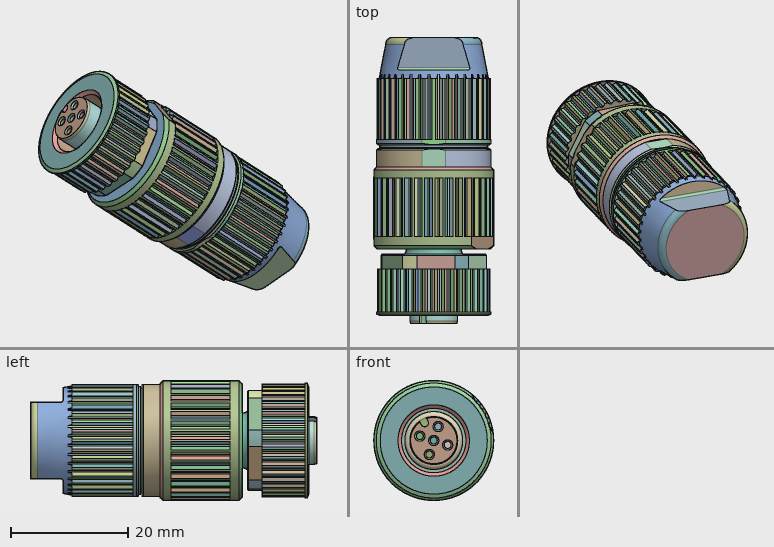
import cadquery as cq
import math

overall_length = 48.9

groove_count = 36
groove_pitch = 360 / groove_count
groove_floor_width = 0.3
flank_angle = 49.0
groove_top_margin = 0.6

insert_radius = 8.2 / 2
insert_chamfer_width = 0.14
insert_chamfer_length = 0.5
shoulder_radius = 4.95
contact_hole_diameter = 1.2
contact_mouth_diameter = 1.75
contact_hole_depth = 5.0
contact_circle_radius = 2.5
first_contact_angle = -17.5
key_angle = 117.4
key_radius = 0.65
key_center_radius = 3.38

nut_face_y = 1.37
nut_face_radius = 18.3 / 2
nut_rim_radius = 9.82
nut_rim_front_y = 1.65
nut_rim_back_y = 2.0
nut_knurl_radius = 9.62
nut_knurl_end_y = 9.35
nut_groove_floor = 9.2
nut_groove_angle = -2.75
bore_radius = 11.0 / 2
bore_mouth_radius = 12.2 / 2
bore_floor_y = 9.0

hex_end_y = 11.87
hex_corner_radius = 9.03
hex_across_flats = 16.85
hex_turn = -2.4
hex_chamfer = 0.2

neck_radius = 4.7
neck_flare_radius = 5.0
neck_flare_arc_radius = 1.4

body_radius = 20.5 / 2
body_face_y = 12.73
body_chamfer = 0.6
body_knurl_start_y = 14.85
body_knurl_end_y = 24.9
body_back_chamfer_y = 26.25
body_end_y = 26.77
body_groove_floor = 9.75
body_groove_angle = -5.05
mark_angle = 29.0
mark_flat_distance = 9.49

collar_radius = 9.78
collar_edge = 0.25
collar_end_y = 29.9
gap_radius = 9.25
slit_radius = 9.0
slit_end_y = 30.1
cap_start_y = 30.5
cap_chamfer = 0.3
cap_knurl_start_y = 31.42
cap_knurl_end_y = 41.85
cap_knurl_radius = 9.66
cap_groove_floor = 9.22
cap_groove_angle = -4.95
cap_flat_distance = 9.57
cone_base_radius = 9.35
cone_tip_radius = 16.45 / 2
tail_fillet_length = 1.2
tail_face_radius = 7.2
tail_flat_distance = 6.55
tail_flat_start_y = 43.35
tail_flat_fillet = 0.4


def revolve_about_axis(profile):
    """Turn a closed (radius, Y) outline about the connector axis."""
    return profile.close().revolve(360, (0, 0, 0), (0, 1, 0))


def cross_section(y):
    """Workplane square to the axis at y: local x is X, local y is Z, normal is -Y."""
    return cq.Workplane("XZ", origin=(0, y, 0))


def cylinder(radius, start_y, end_y):
    return cross_section(end_y).circle(radius).extrude(end_y - start_y)


def turned_about_axis(shape, angle):
    """Turn a shape at +Z towards +X by the given angle in degrees."""
    return shape.rotate((0, 0, 0), (0, 1, 0), angle)


def knurl_grooves(floor_radius, crest_radius, start_y, end_y, first_angle):
    """All grooves of one knurled band, as a list of cutters."""
    top_radius = crest_radius + groove_top_margin
    floor_half = groove_floor_width / 2
    crest_half = floor_half + (crest_radius - floor_radius) * math.tan(math.radians(flank_angle))
    groove = (
        cross_section(end_y)
        .polyline([
            (-floor_half, floor_radius),
            (floor_half, floor_radius),
            (crest_half, crest_radius),
            (crest_half, top_radius),
            (-crest_half, top_radius),
            (-crest_half, crest_radius),
        ])
        .close()
        .extrude(end_y - start_y)
    )
    angles = [first_angle + index * groove_pitch for index in range(groove_count)]
    return [turned_about_axis(groove, angle).val() for angle in angles]


def cut_knurl(part, *band):
    grooves = cq.Compound.makeCompound(knurl_grooves(*band))
    return part.cut(cq.Workplane("XY").add(grooves))


def coupling_nut():
    mouth_depth = bore_mouth_radius - bore_radius
    profile = (
        cq.Workplane("XY")
        .moveTo(0, bore_floor_y)
        .lineTo(bore_radius, bore_floor_y)
        .lineTo(bore_radius, nut_face_y + mouth_depth)
        .lineTo(bore_mouth_radius, nut_face_y)
        .lineTo(nut_face_radius, nut_face_y)
        .lineTo(nut_rim_radius, nut_rim_front_y)
        .lineTo(nut_rim_radius, nut_rim_back_y)
        .lineTo(nut_knurl_radius, nut_rim_back_y)
        .lineTo(nut_knurl_radius, nut_knurl_end_y)
        .lineTo(0, nut_knurl_end_y)
    )
    nut = revolve_about_axis(profile)
    return cut_knurl(
        nut, nut_groove_floor, nut_knurl_radius, nut_rim_back_y, nut_knurl_end_y, nut_groove_angle
    )


def hexagon():
    length = hex_end_y - nut_knurl_end_y
    corner_diameter = hex_across_flats / math.cos(math.pi / 6)
    prism = cross_section(hex_end_y).polygon(6, corner_diameter).extrude(length)
    prism = turned_about_axis(prism, -hex_turn)
    envelope = cylinder(hex_corner_radius, nut_knurl_end_y, hex_end_y)
    return prism.intersect(envelope).faces(">Y").chamfer(hex_chamfer)


def neck():
    profile = (
        cq.Workplane("XY")
        .moveTo(0, hex_end_y)
        .lineTo(neck_flare_radius, hex_end_y)
        .radiusArc((neck_radius, body_face_y), neck_flare_arc_radius)
        .lineTo(0, body_face_y)
    )
    return revolve_about_axis(profile)


def body():
    profile = (
        cq.Workplane("XY")
        .moveTo(0, body_face_y)
        .lineTo(body_radius - body_chamfer, body_face_y)
        .lineTo(body_radius, body_face_y + body_chamfer)
        .lineTo(body_radius, body_back_chamfer_y)
        .lineTo(collar_radius, body_end_y)
        .lineTo(0, body_end_y)
    )
    solid = revolve_about_axis(profile)
    solid = cut_knurl(
        solid, body_groove_floor, body_radius, body_knurl_start_y, body_knurl_end_y, body_groove_angle
    )
    return solid.cut(mark_flat())


def mark_flat():
    """Block that leaves the flat position mark on the front ring of the body."""
    length = body_knurl_start_y - body_face_y
    block = (
        cq.Workplane("XY")
        .box(body_radius, length, 2 * body_radius, centered=(False, False, True))
        .translate((mark_flat_distance, body_face_y, 0))
    )
    return turned_about_axis(block, -mark_angle)


def collar_and_cap():
    cone_end_y = overall_length - tail_fillet_length
    arc_middle_share = math.sqrt(0.5)
    arc_middle = (
        tail_face_radius + arc_middle_share * (cone_tip_radius - tail_face_radius),
        cone_end_y + arc_middle_share * tail_fillet_length,
    )
    profile = (
        cq.Workplane("XY")
        .moveTo(0, body_end_y)
        .lineTo(collar_radius, body_end_y)
        .lineTo(collar_radius, collar_end_y - collar_edge)
        .lineTo(collar_radius - collar_edge, collar_end_y)
        .lineTo(slit_radius, collar_end_y)
        .lineTo(slit_radius, slit_end_y)
        .lineTo(gap_radius, slit_end_y)
        .lineTo(gap_radius, cap_start_y)
        .lineTo(collar_radius - cap_chamfer, cap_start_y)
        .lineTo(collar_radius, cap_start_y + cap_chamfer)
        .lineTo(collar_radius, cap_knurl_start_y)
        .lineTo(cap_knurl_radius, cap_knurl_start_y)
        .lineTo(cap_knurl_radius, cap_knurl_end_y)
        .lineTo(cone_base_radius, cap_knurl_end_y)
        .lineTo(cone_tip_radius, cone_end_y)
        .threePointArc(arc_middle, (tail_face_radius, overall_length))
        .lineTo(0, overall_length)
    )
    solid = revolve_about_axis(profile)
    solid = cut_knurl(
        solid, cap_groove_floor, cap_knurl_radius, cap_knurl_start_y, tail_flat_start_y, cap_groove_angle
    )
    for turn in (0, 180):
        solid = solid.cut(turned_about_axis(side_flat(), turn))
        solid = solid.cut(turned_about_axis(tail_flat(), turn))
    return solid


def side_flat():
    """Block that leaves the narrow flat along the +Z side of the collar and cap."""
    length = tail_flat_start_y - body_end_y
    return (
        cq.Workplane("XY")
        .box(2 * body_radius, length, body_radius, centered=(True, False, False))
        .translate((0, body_end_y, cap_flat_distance))
    )


def tail_flat():
    """Block that leaves the wrench flat on the +Z side of the tail, its inner corner rounded."""
    length = overall_length - tail_flat_start_y
    return (
        cq.Workplane("XY")
        .box(2 * body_radius, length, body_radius, centered=(True, False, False))
        .translate((0, tail_flat_start_y, tail_flat_distance))
        .edges("<Y and <Z")
        .fillet(tail_flat_fillet)
    )


def contact_insert():
    profile = (
        cq.Workplane("XY")
        .lineTo(insert_radius - insert_chamfer_width, 0)
        .lineTo(insert_radius, insert_chamfer_length)
        .lineTo(insert_radius, bore_floor_y)
        .lineTo(0, bore_floor_y)
    )
    insert = revolve_about_axis(profile).cut(key_groove())
    ring_angles = [math.radians(first_contact_angle + 90 * index) for index in range(4)]
    centers = [(0, 0)] + [
        (contact_circle_radius * math.cos(angle), contact_circle_radius * math.sin(angle))
        for angle in ring_angles
    ]
    for center in centers:
        insert = insert.cut(contact_hole(center))
    return insert


def contact_hole(center):
    """Blind contact hole with a 45 degree mouth."""
    hole_radius = contact_hole_diameter / 2
    mouth_radius = contact_mouth_diameter / 2
    profile = (
        cq.Workplane("XY")
        .lineTo(mouth_radius, 0)
        .lineTo(hole_radius, mouth_radius - hole_radius)
        .lineTo(hole_radius, contact_hole_depth)
        .lineTo(0, contact_hole_depth)
    )
    x, z = center
    return revolve_about_axis(profile).translate((x, 0, z))


def key_groove():
    """Coding groove along the insert: a round floor, open to the outside."""
    open_length = insert_radius - key_center_radius + key_radius
    groove = (
        cross_section(bore_floor_y)
        .moveTo(key_center_radius + open_length / 2, 0)
        .slot2D(open_length + 2 * key_radius, 2 * key_radius)
        .extrude(bore_floor_y)
    )
    return turned_about_axis(groove, -key_angle)


def insert_shoulder():
    """Shoulder around the foot of the insert, its outer edge fully rounded."""
    rounding = shoulder_radius - insert_radius
    profile = (
        cq.Workplane("XY")
        .moveTo(0, bore_floor_y - rounding)
        .lineTo(insert_radius, bore_floor_y - rounding)
        .radiusArc((shoulder_radius, bore_floor_y), -rounding)
        .lineTo(0, bore_floor_y)
    )
    return revolve_about_axis(profile)


result = coupling_nut()
for piece in (hexagon(), neck(), body(), collar_and_cap(), contact_insert(), insert_shoulder()):
    result = result.union(piece)